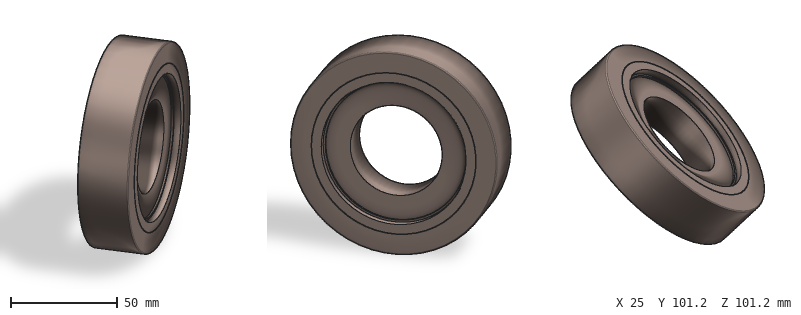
import cadquery as cq

outer_radius = 50.6
width = 25.0
bore_radius = 22.5
rim_fillet = 0.5

recess_radius = 35.4
recess_depth = 3.3
floor_radius = 34.4
floor_depth = 4.5

groove_outer_radius = 40.4
groove_width = 0.2
groove_depth = 0.1


def disc(radius, start, length):
    """Solid disc about the X axis, from X = start towards +X."""
    return cq.Workplane("YZ", origin=(start, 0, 0)).circle(radius).extrude(length)


def end_cuts():
    """Recess and groove material to remove from the -X end face."""
    face = -width / 2
    groove = disc(groove_outer_radius, face, groove_depth).cut(
        disc(groove_outer_radius - groove_width, face, groove_depth)
    )
    recess = disc(recess_radius, face, recess_depth)
    floor_step = disc(floor_radius, face, floor_depth)
    return recess.union(floor_step).union(groove)


ring = disc(outer_radius, -width / 2, width).edges().fillet(rim_fillet)
ring = ring.cut(disc(bore_radius, -width / 2, width))

near_cuts = end_cuts()
result = ring.cut(near_cuts).cut(near_cuts.mirror("YZ"))